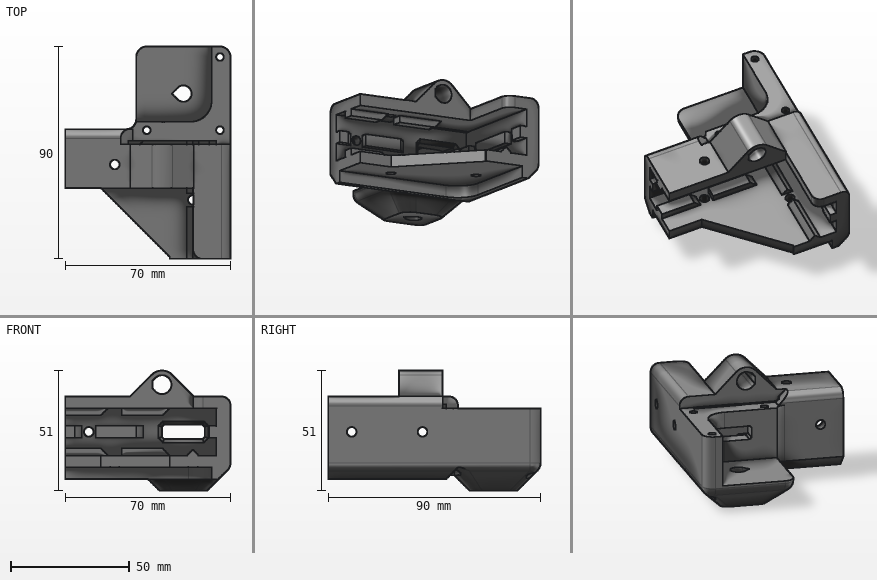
import cadquery as cq
import math


frame_width = 70.0
frame_depth = 55.0
frame_height = 35.0
beam = 20.0
floor_z = 10.0
roof_z = floor_z + beam
beam_axis_z = floor_z + beam / 2
back_wall = 5.0
side_wall = 6.0
channel_width = frame_width - side_wall
channel_depth = frame_depth - back_wall
x_beam_axis_y = channel_depth - beam / 2
y_beam_axis_x = channel_width - beam / 2
edge_radius = 4.0
base_chamfer = 5.0

roof_front_y = 30.0
roof_side_x = 54.2
floor_shelf_x = 15.1
floor_tip_x = 44.2

recess_height = 5.0
recess_width = 62.0
recess_depth = 47.0
recess_radius = 10.0

screw_diameter = 4.0
rail_gap = 5.8
rail_width = 5.0
rail_height = 3.0
ridge_height = 2.5
back_screw_x = 10.0
slab_screw_x = 21.0
side_screws_y = (10.0, x_beam_axis_y)
floor_screw_y = 25.0
back_rail_end = 33.0
slab_rail_end = 44.2

lug_x = 40.95
lug_axis_z = 40.0
lug_radius = 6.0
lug_hole_radius = 4.0

total_depth = 90
housing_left = 30.0
housing_width = frame_width - housing_left
motor_x = housing_left + housing_width / 2
motor_y = total_depth - housing_width / 2
housing_front = total_depth - housing_width
housing_radius = 4.8
pocket_floor_z = 7.9
pocket_right = 62.0
pocket_front = 58.05
pocket_radius = 9
motor_half = 21.5
clearance_x = motor_x - motor_half
clearance_y = motor_y - motor_half
clearance_rise = frame_height - roof_z
relief_x = 26.7
motor_screw_spacing = 31.0
motor_screw_diameter = 3.15
shaft_radius = 3.4

taper_bottom_z = -4.95
taper_height = base_chamfer - taper_bottom_z
taper_bottom_radius = 5.2
taper_rim_radius = 8.8
valley_z = 1.5

margin = 0.9

slot_half_width = 9
slot_half_height = 3.0
slot_corner = 0.8
slot_mouth_corner = 1.9
slot_flare = 1.5
slot_reach = 12.6
slot_end_y = channel_depth + slot_reach


def box(x0, x1, y0, y1, z0, z1):
    return cq.Workplane("XY").box(x1 - x0, y1 - y0, z1 - z0, centered=False).translate((x0, y0, z0))


def pin(plane, origin, radius, length):
    """Cylinder starting at a point and running along the plane's normal."""
    return cq.Workplane(plane, origin=origin).circle(radius).extrude(length)


def frame_body():
    body = box(0, frame_width, 0, frame_depth, 0, frame_height)
    body = body.faces(">Z").edges(">X or >Y").fillet(edge_radius)
    body = body.faces("<Z").edges(">X or >Y").chamfer(base_chamfer)
    base_edge = cq.selectors.NearestToPointSelector((frame_width, frame_depth / 2, base_chamfer))
    return body.edges("|Y").edges(base_edge).fillet(housing_radius)


def corner_outline(side, half, radius, z):
    """Wire of the scrap between a square front corner of the taper and its rounding."""
    x = motor_x + side * half
    y = motor_y - half
    sagitta = radius * (1 - math.sqrt(0.5))
    return (
        cq.Workplane("XY", origin=(0, 0, z))
        .moveTo(x, y)
        .lineTo(x - side * radius, y)
        .threePointArc((x - side * sagitta, y + sagitta), (x, y + radius))
        .close()
        .val()
    )


def front_corner(side):
    """Scrap whose rounding widens from the bottom of the taper to its rim."""
    bottom = corner_outline(side, housing_width / 2 - taper_height, taper_bottom_radius, taper_bottom_z)
    top = corner_outline(side, housing_width / 2, taper_rim_radius, base_chamfer)
    return cq.Workplane(cq.Solid.makeLoft([bottom, top], True))


def housing_body():
    """Block tapering at 45 degrees to a square bottom, with a filled valley against the frame."""
    body = box(housing_left, frame_width, housing_front, total_depth, taper_bottom_z, roof_z)
    body = body.faces("<Z").edges().chamfer(taper_height)
    back_sides = cq.selectors.BoxSelector(
        (housing_left - margin, motor_y - margin, taper_bottom_z + margin),
        (frame_width + margin, total_depth + margin, roof_z - margin),
    )
    body = body.edges(back_sides).fillet(housing_radius)
    for side in (-1, 1):
        body = body.cut(front_corner(side))
    valley_drop = base_chamfer - valley_z
    valley = (
        cq.Workplane("XZ", origin=(0, frame_depth, 0))
        .moveTo(housing_left, base_chamfer)
        .lineTo(housing_left + valley_drop, valley_z)
        .lineTo(frame_width - valley_drop, valley_z)
        .lineTo(frame_width - valley_drop, base_chamfer)
        .close()
        .extrude(back_wall)
    )
    return body.union(valley)


def inside_corner():
    """Concave fillet column between the frame's back and the housing's left side."""
    column = box(
        housing_left - edge_radius, housing_left, frame_depth, frame_depth + edge_radius,
        base_chamfer, roof_z,
    )
    centre = (housing_left - edge_radius, frame_depth + edge_radius, base_chamfer)
    return column.cut(pin("XY", centre, edge_radius, roof_z - base_chamfer))


def motor_clearance():
    slope = (
        cq.Workplane("XZ", origin=(0, total_depth, 0))
        .moveTo(clearance_x - clearance_rise, frame_height)
        .lineTo(clearance_x, roof_z)
        .lineTo(frame_width, roof_z)
        .lineTo(frame_width, frame_height)
        .close()
        .extrude(total_depth - clearance_y)
    )
    relief = box(relief_x, clearance_x, clearance_y, channel_depth, roof_z, frame_height)
    return slope.union(relief)


def motor_pocket():
    pocket = box(0, pocket_right, pocket_front, total_depth, pocket_floor_z, roof_z)
    return pocket.edges("|Z and >X and <Y").fillet(pocket_radius)


def lug():
    offset = lug_radius * math.sqrt(0.5)
    shoulder_z = lug_axis_z + offset
    foot = offset + shoulder_z - frame_height
    return (
        cq.Workplane("XZ", origin=(0, clearance_y, 0))
        .moveTo(lug_x - foot, frame_height)
        .lineTo(lug_x - offset, shoulder_z)
        .threePointArc((lug_x, lug_axis_z + lug_radius), (lug_x + offset, shoulder_z))
        .lineTo(lug_x + foot, frame_height)
        .lineTo(lug_x + foot, roof_z)
        .lineTo(lug_x - foot, roof_z)
        .close()
        .extrude(clearance_y - roof_front_y)
    )


def lug_hole():
    """Round hole with 45 degree flanks closed by a flat on its left."""
    flat_half = lug_hole_radius * math.tan(math.pi / 8)
    reach = lug_hole_radius * math.sqrt(0.5)
    centre = (lug_x, clearance_y, lug_axis_z)
    length = clearance_y - roof_front_y
    point = (
        cq.Workplane("XZ", origin=centre)
        .polyline([
            (0, 0), (-reach, reach), (-lug_hole_radius, flat_half),
            (-lug_hole_radius, -flat_half), (-reach, -reach),
        ])
        .close()
        .extrude(length)
    )
    return pin("XZ", centre, lug_hole_radius, length).union(point)


def shaft_hole():
    """Teardrop hole pointing left."""
    reach = shaft_radius * math.sqrt(0.5)
    centre = (motor_x, motor_y, taper_bottom_z)
    length = roof_z - taper_bottom_z
    point = (
        cq.Workplane("XY", origin=centre)
        .polyline([(0, 0), (-reach, reach), (-2 * reach, 0), (-reach, -reach)])
        .close()
        .extrude(length)
    )
    return pin("XY", centre, shaft_radius, length).union(point)


def cut_roof(body):
    opening = box(0, roof_side_x, 0, roof_front_y, roof_z, frame_height)
    body = body.cut(opening)
    corner = cq.selectors.NearestToPointSelector((roof_side_x, 0, (roof_z + frame_height) / 2))
    return body.edges("|Z").edges(corner).fillet(edge_radius)


def floor_opening():
    tip_y = roof_front_y - (floor_tip_x - floor_shelf_x)
    return (
        cq.Workplane("XY")
        .polyline([
            (0, 0), (floor_tip_x, 0), (floor_tip_x, tip_y),
            (floor_shelf_x, roof_front_y), (0, roof_front_y),
        ])
        .close()
        .extrude(floor_z)
    )


def recess():
    pocket = box(0, recess_width, 0, recess_depth, 0, recess_height)
    return pocket.edges("|Z and >X and >Y").fillet(recess_radius)


def ramped_rail(x0, x1):
    """Rail along X lying on Z = 0, centred on Y = 0, with a 45 degree ramp at its right end."""
    return (
        cq.Workplane("XZ", origin=(0, rail_width / 2, 0))
        .polyline([(x0, 0), (x1, 0), (x1 - rail_height, rail_height), (x0, rail_height)])
        .close()
        .extrude(rail_width)
    )


def split_at(screws, end):
    """Stretches from 0 to an end that leave a gap around each screw."""
    starts = [0] + [screw + rail_gap / 2 for screw in screws]
    ends = [screw - rail_gap / 2 for screw in screws] + [end]
    return list(zip(starts, ends))


def rails():
    parts = []
    for x0, x1 in split_at([slab_screw_x], slab_rail_end):
        rail = ramped_rail(x0, x1)
        parts.append(rail.translate((0, x_beam_axis_y, floor_z)))
        parts.append(rail.mirror("XY").translate((0, x_beam_axis_y, roof_z)))
    for x0, x1 in split_at([back_screw_x], back_rail_end):
        rail = ramped_rail(x0, x1).rotate((0, 0, 0), (1, 0, 0), 90)
        parts.append(rail.translate((0, channel_depth, beam_axis_z)))
    for y0, y1 in split_at(side_screws_y, channel_depth):
        parts.append(box(
            channel_width - rail_height, channel_width, y0, y1,
            beam_axis_z - rail_width / 2, beam_axis_z + rail_width / 2,
        ))
    for y0, y1 in split_at([floor_screw_y], channel_depth):
        parts.append(
            cq.Workplane("XZ", origin=(y_beam_axis_x, y1, floor_z))
            .polyline([(-rail_width / 2, 0), (rail_width / 2, 0), (0, ridge_height)])
            .close()
            .extrude(y1 - y0)
        )
    return parts


def screw_holes():
    radius = screw_diameter / 2
    holes = [
        pin("XY", (slab_screw_x, x_beam_axis_y, 0), radius, frame_height),
        pin("XY", (y_beam_axis_x, floor_screw_y, 0), radius, floor_z),
        pin("XZ", (back_screw_x, frame_depth, beam_axis_z), radius, back_wall),
    ]
    for y in side_screws_y:
        holes.append(pin("YZ", (channel_width, y, beam_axis_z), radius, side_wall))
    half = motor_screw_spacing / 2
    for dx, dy in [(-half, -half), (half, -half), (half, half)]:
        start = (motor_x + dx, motor_y + dy, taper_bottom_z)
        holes.append(pin("XY", start, motor_screw_diameter / 2, roof_z - taper_bottom_z))
    return holes


def octagon(half_width, half_height, corner, y):
    """Wire of a rectangle with cut corners, standing across the slot's axis."""
    points = [
        (half_width - corner, half_height), (half_width, half_height - corner),
        (half_width, corner - half_height), (half_width - corner, -half_height),
        (corner - half_width, -half_height), (-half_width, corner - half_height),
        (-half_width, half_height - corner), (corner - half_width, half_height),
    ]
    return cq.Workplane("XZ", origin=(motor_x, y, beam_axis_z)).polyline(points).close().val()


def wall_slot():
    mouth = octagon(
        slot_half_width + slot_flare, slot_half_height + slot_flare, slot_mouth_corner, channel_depth
    )
    throat = octagon(slot_half_width, slot_half_height, slot_corner, channel_depth + slot_flare)
    end = octagon(slot_half_width, slot_half_height, slot_corner, slot_end_y)
    flare = cq.Workplane(cq.Solid.makeLoft([mouth, throat], True))
    return flare.union(cq.Workplane(cq.Solid.makeLoft([throat, end], True)))


body = frame_body().union(housing_body()).union(inside_corner())
body = body.cut(box(0, channel_width, 0, channel_depth, floor_z, roof_z))
body = body.cut(recess()).cut(floor_opening())
body = cut_roof(body)
body = body.cut(motor_clearance()).cut(motor_pocket())
body = body.union(lug()).cut(lug_hole())
for rail in rails():
    body = body.union(rail)
for hole in screw_holes():
    body = body.cut(hole)
result = body.cut(shaft_hole()).cut(wall_slot())